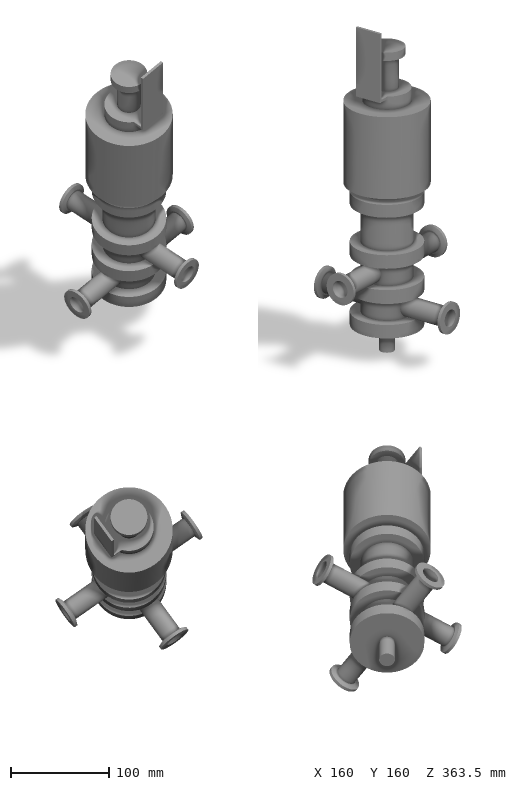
import cadquery as cq

drain_diameter = 16.0
flange_diameter = 76.0
barrel_diameter = 54.0
actuator_diameter = 89.0
collar_diameter = 50.0

bottom_flange_base = 28.5
bottom_flange_top = 43.3
middle_flange_base = 66.5
middle_flange_top = 81.8
upper_flange_base = 105.5
upper_flange_top = 120.3
yoke_flange_base = 161.7
yoke_flange_top = 176.0
actuator_base = 185.0
actuator_top = 275.5
collar_split = 281.0

nozzle_reach = 80.0
tube_diameter = 21.8
bore_diameter = 18.5
ferrule_diameter = 34.0
ferrule_neck_diameter = 25.5
ferrule_rim_length = 3.3
ferrule_cone_length = 1.8
lower_nozzle_level = (bottom_flange_top + middle_flange_base) / 2
upper_nozzle_level = (middle_flange_top + upper_flange_base) / 2

collar_top = 290.0
stem_diameter = 24.0
knob_diameter = 37.5
knob_base = 326.7
knob_top = 336.0
plate_top = 363.5
plate_width = 30.5
plate_thickness = 3.0
plate_outer_x = 32.7


def cylinder(diameter, base, top):
    """Vertical cylinder on the column axis."""
    return cq.Workplane("XY").workplane(offset=base).circle(diameter / 2).extrude(top - base)


def make_nozzle(level, angle):
    """Solid clamp-ended tube from the column axis, pointing at an angle from +X."""
    tube_radius = tube_diameter / 2
    ferrule_radius = ferrule_diameter / 2
    neck_radius = ferrule_neck_diameter / 2
    rim_back = nozzle_reach - ferrule_rim_length
    cone_back = rim_back - ferrule_cone_length
    profile = [
        (0, 0),
        (0, tube_radius),
        (cone_back, tube_radius),
        (cone_back, neck_radius),
        (rim_back, ferrule_radius),
        (nozzle_reach, ferrule_radius),
        (nozzle_reach, 0),
    ]
    nozzle = cq.Workplane("XZ").polyline(profile).close().revolve(360, (0, 0, 0), (1, 0, 0))
    return nozzle.rotate((0, 0, 0), (0, 0, 1), angle).translate((0, 0, level))


def make_bore(level, angle):
    """Bore of one nozzle, ending on the outer surface of the barrel."""
    bore = cq.Workplane("YZ").circle(bore_diameter / 2).extrude(nozzle_reach)
    bore = bore.rotate((0, 0, 0), (0, 0, 1), angle).translate((0, 0, level))
    return bore.cut(cylinder(barrel_diameter, bottom_flange_base, actuator_base))


def make_valve():
    """Valve column with its actuator and four nozzles."""
    valve = cylinder(drain_diameter, 0, bottom_flange_base)
    sections = [
        (flange_diameter, bottom_flange_base, bottom_flange_top),
        (barrel_diameter, bottom_flange_top, middle_flange_base),
        (flange_diameter, middle_flange_base, middle_flange_top),
        (barrel_diameter, middle_flange_top, upper_flange_base),
        (flange_diameter, upper_flange_base, upper_flange_top),
        (barrel_diameter, upper_flange_top, yoke_flange_base),
        (flange_diameter, yoke_flange_base, yoke_flange_top),
        (barrel_diameter, yoke_flange_top, actuator_base),
        (actuator_diameter, actuator_base, actuator_top),
        (collar_diameter, actuator_top, collar_split),
    ]
    for diameter, base, top in sections:
        valve = valve.union(cylinder(diameter, base, top))

    nozzle_places = [
        (upper_nozzle_level, 0),
        (upper_nozzle_level, 180),
        (lower_nozzle_level, 90),
        (lower_nozzle_level, 270),
    ]
    for level, angle in nozzle_places:
        valve = valve.union(make_nozzle(level, angle))
    for level, angle in nozzle_places:
        valve = valve.cut(make_bore(level, angle))
    return valve


def make_angle_plate():
    """L-shaped plate: a foot flush with the collar top and an upright outside it."""
    foot_base = collar_top - plate_thickness
    plate_inner_x = plate_outer_x - plate_thickness
    outline = [
        (0, foot_base),
        (plate_outer_x, foot_base),
        (plate_outer_x, plate_top),
        (plate_inner_x, plate_top),
        (plate_inner_x, collar_top),
        (0, collar_top),
    ]
    return cq.Workplane("XZ").polyline(outline).close().extrude(plate_width / 2, both=True)


def make_indicator():
    """Collar, stem, knob and angle plate standing on the valve."""
    indicator = cylinder(collar_diameter, collar_split, collar_top)
    indicator = indicator.union(cylinder(stem_diameter, collar_top, knob_base))
    indicator = indicator.union(cylinder(knob_diameter, knob_base, knob_top))
    return indicator.union(make_angle_plate())


valve = make_valve()
indicator = make_indicator()

result = cq.Compound.makeCompound([valve.val(), indicator.val()])